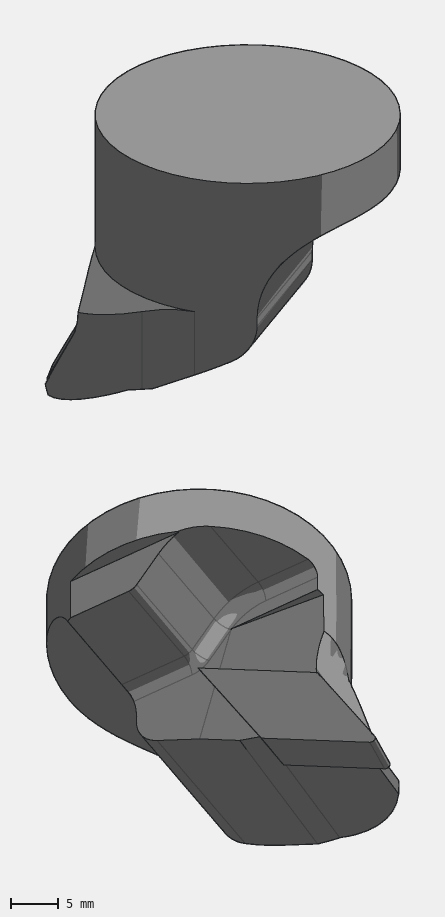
import cadquery as cq
import math

SHANK_RADIUS = 32.0 / 2
BODY_DEPTH = 35.98
RELIEF_RADIUS = 9.55
RELIEF_TOP = -6.32
HEEL_X = 6.5
HEEL_Z = -19.7
HEEL_RADIUS = 4.75
CUT_ANGLE = 27.5
MARGIN = 22.72

SWELL_OFFSET = 5.85
LEDGE_TOP = -15.6

POCKET_FLOOR_Y = 1.97
POCKET_FLOOR_RADIUS = 1.5
POCKET_CEILING = -5.68
POCKET_ARC_START_X = -9.45
POCKET_ARC_RADIUS = 7.12
POCKET_WALL_ANGLE = 50.0
WEB_Y = 14.45
WEB_BOTTOM = -11.9
WEB_EDGE_RADIUS = 1.3

TIP_X = -21.75
TIP_Z = -33.85
TIP_Y = 0.08
INSERT_SIDE = 15.7
INSERT_ANGLE = 35.0
INSERT_THICKNESS = 4.77
INSERT_DRAFT = 3.4
TIP_RADIUS = 0.45
SLOPE_X = 0.09
SLOPE_Z = 0.024
INSERT_PROUD = 0.2
CHIP_FACE_TOP = -9.1

SHEAR = (0.08, -1.0, 0.04)
NECK_X = -14.92
NECK_Z = -19.7
NECK_RADIUS = 7.2
NECK_TOP_RADIUS = 14.0
NECK_TOP_SWEEP = 40.0
NOSE_Z = -31.75
NOSE_CHAMFER = 0.65
UNDERSIDE_RISE = 0.8
RECESS_END_X = -5.85
RECESS_RAMP = 2.88


def at_angle(point, distance, degrees):
    angle = math.radians(degrees)
    return (point[0] + distance * math.cos(angle), point[1] + distance * math.sin(angle))


def along_y(profile, y_from, y_to):
    """Move a closed XZ profile to y_from and extrude it to y_to."""
    return profile.extrude(-(y_to - y_from)).translate((0, y_from, 0))


def outline_block():
    """Front outline: relief arc, heel and sloping lower edge."""
    tangent = HEEL_RADIUS * math.tan(math.radians((90 - CUT_ANGLE) / 2))
    heel = (HEEL_X, HEEL_Z)
    heel_start = (HEEL_X, HEEL_Z + tangent)
    heel_end = at_angle(heel, tangent, 180 + CUT_ANGLE)
    heel_center = (HEEL_X - HEEL_RADIUS, HEEL_Z + tangent)
    heel_middle = at_angle(heel_center, HEEL_RADIUS, (CUT_ANGLE - 90) / 2)
    relief_center = (HEEL_X + RELIEF_RADIUS, RELIEF_TOP - RELIEF_RADIUS)
    low_end = at_angle(heel, 2 * MARGIN, 180 + CUT_ANGLE)
    profile = (
        cq.Workplane("XZ")
        .moveTo(low_end[0], 0)
        .lineTo(MARGIN, 0)
        .lineTo(MARGIN, RELIEF_TOP)
        .lineTo(relief_center[0], RELIEF_TOP)
        .threePointArc(
            at_angle(relief_center, RELIEF_RADIUS, 135), (HEEL_X, relief_center[1])
        )
        .lineTo(*heel_start)
        .threePointArc(heel_middle, heel_end)
        .lineTo(*low_end)
        .close()
    )
    return along_y(profile, -MARGIN, MARGIN)


def swollen_head():
    """Head outline shifted toward -X, topped by a 45 degree conical ledge."""
    swell = (
        cq.Workplane("XY")
        .moveTo(0, -SHANK_RADIUS)
        .lineTo(-SWELL_OFFSET, -SHANK_RADIUS)
        .threePointArc((-SWELL_OFFSET - SHANK_RADIUS, 0), (-SWELL_OFFSET, SHANK_RADIUS))
        .lineTo(0, 0)
        .close()
        .extrude(-BODY_DEPTH)
    )
    spread = SHANK_RADIUS + BODY_DEPTH + LEDGE_TOP
    half_section = [
        (0, LEDGE_TOP),
        (SHANK_RADIUS, LEDGE_TOP),
        (spread, -BODY_DEPTH),
        (0, -BODY_DEPTH),
    ]
    cone = (
        cq.Workplane("XZ")
        .polyline(half_section)
        .close()
        .revolve(360, (0, 0, 0), (0, 1, 0))
    )
    return swell.intersect(cone)


def chip_pocket():
    """Open space on the +Y side, leaving a web with a sloping, rounded wall."""
    arc_center = (POCKET_ARC_START_X, POCKET_CEILING - POCKET_ARC_RADIUS)
    arc_middle = at_angle(arc_center, POCKET_ARC_RADIUS, 90 - POCKET_WALL_ANGLE / 2)
    arc_end = at_angle(arc_center, POCKET_ARC_RADIUS, 90 - POCKET_WALL_ANGLE)
    wall_run = (arc_end[1] - WEB_BOTTOM) / math.tan(math.radians(POCKET_WALL_ANGLE))
    web_corner = (arc_end[0] + wall_run, WEB_BOTTOM)
    web_tangent = WEB_EDGE_RADIUS * math.tan(math.radians(POCKET_WALL_ANGLE / 2))
    wall_end = at_angle(web_corner, web_tangent, 180 - POCKET_WALL_ANGLE)
    bottom_start = (web_corner[0] + web_tangent, WEB_BOTTOM)
    web_center = (bottom_start[0], WEB_BOTTOM + WEB_EDGE_RADIUS)
    web_middle = at_angle(web_center, WEB_EDGE_RADIUS, -90 - POCKET_WALL_ANGLE / 2)
    profile = (
        cq.Workplane("XZ")
        .moveTo(-2 * MARGIN, POCKET_CEILING)
        .lineTo(POCKET_ARC_START_X, POCKET_CEILING)
        .threePointArc(arc_middle, arc_end)
        .lineTo(*wall_end)
        .threePointArc(web_middle, bottom_start)
        .lineTo(MARGIN, WEB_BOTTOM)
        .lineTo(MARGIN, -2 * BODY_DEPTH)
        .lineTo(-2 * MARGIN, -2 * BODY_DEPTH)
        .close()
    )
    pocket = along_y(profile, POCKET_FLOOR_Y, MARGIN)
    floor_edges = cq.selectors.BoxSelector(
        (-2 * MARGIN, POCKET_FLOOR_Y - POCKET_FLOOR_RADIUS, WEB_BOTTOM - POCKET_FLOOR_RADIUS),
        (MARGIN, POCKET_FLOOR_Y + POCKET_FLOOR_RADIUS, 0),
    )
    pocket = pocket.edges(floor_edges).fillet(POCKET_FLOOR_RADIUS)
    side_cut = cq.Workplane("XY").box(
        2 * MARGIN, MARGIN, BODY_DEPTH, centered=(True, False, False)
    ).translate((0, WEB_Y, RELIEF_TOP - BODY_DEPTH))
    return pocket.union(side_cut)


def seat_plane(origin):
    """Plane parallel to the insert face: local x along +X, normal toward -Y."""
    return cq.Plane(origin=origin, xDir=(1, SLOPE_X, 0), normal=(SLOPE_X, -1, SLOPE_Z))


def chip_face():
    """Shallow tilted face in front of the insert, ending at the pocket floor."""
    block = (
        cq.Workplane(seat_plane((TIP_X, TIP_Y - INSERT_PROUD, TIP_Z)))
        .rect(4 * MARGIN, 4 * MARGIN)
        .extrude(-MARGIN)
    )
    limit = cq.Workplane("XY").box(
        4 * MARGIN, MARGIN, BODY_DEPTH, centered=(True, False, False)
    ).translate((0, POCKET_FLOOR_Y - MARGIN, CHIP_FACE_TOP - BODY_DEPTH))
    return block.intersect(limit)


def flank_cut():
    """Everything outside the neck, left flank, nose chamfer and underside recess."""
    flank_angle = 90 - CUT_ANGLE
    center = (NECK_X - NECK_RADIUS, NECK_Z)
    top_center = (NECK_X - NECK_TOP_RADIUS, NECK_Z)
    neck_top = at_angle(top_center, NECK_TOP_RADIUS, NECK_TOP_SWEEP)
    top_middle = at_angle(top_center, NECK_TOP_RADIUS, NECK_TOP_SWEEP / 2)
    neck_middle = at_angle(center, NECK_RADIUS, -CUT_ANGLE / 2)
    neck_end = at_angle(center, NECK_RADIUS, -CUT_ANGLE)
    flank_length = (neck_end[1] - NOSE_Z) / math.sin(math.radians(flank_angle))
    nose = at_angle(neck_end, flank_length, 180 + flank_angle)
    nose_end = (nose[0] + NOSE_CHAMFER, nose[1] - NOSE_CHAMFER)
    slope = math.tan(math.radians(CUT_ANGLE))
    recess_end = (RECESS_END_X, HEEL_Z - slope * (HEEL_X - RECESS_END_X))
    recess_start_x = RECESS_END_X - RECESS_RAMP
    recess_start = (recess_start_x, recess_end[1] - slope * RECESS_RAMP + UNDERSIDE_RISE)
    profile = (
        cq.Workplane(cq.Plane(origin=(0, 0, 0), xDir=(1, 0, 0), normal=(0, -1, 0)))
        .moveTo(-2 * MARGIN, neck_top[1])
        .lineTo(*neck_top)
        .threePointArc(top_middle, (NECK_X, NECK_Z))
        .threePointArc(neck_middle, neck_end)
        .lineTo(*nose)
        .lineTo(*nose_end)
        .lineTo(*recess_start)
        .lineTo(*recess_end)
        .lineTo(RECESS_END_X, -2 * BODY_DEPTH)
        .lineTo(-2 * MARGIN, -2 * BODY_DEPTH)
        .close()
    )
    face = cq.Face.makeFromWires(profile.val())
    reach = cq.Vector(*SHEAR) * MARGIN
    return cq.Workplane(cq.Solid.extrudeLinear(face.translate(-reach), reach * 2))


def make_insert():
    """Rhombic cutting insert with drafted sides and a rounded cutting tip."""
    tip = (0, 0)
    low = at_angle(tip, INSERT_SIDE, CUT_ANGLE)
    high = at_angle(tip, INSERT_SIDE, CUT_ANGLE + INSERT_ANGLE)
    far = (low[0] + high[0], low[1] + high[1])
    overhang = TIP_RADIUS / math.sin(math.radians(INSERT_ANGLE / 2)) - TIP_RADIUS
    corner = at_angle((TIP_X, TIP_Z), overhang, 180 + CUT_ANGLE + INSERT_ANGLE / 2)
    insert = (
        cq.Workplane(seat_plane((corner[0], TIP_Y, corner[1])))
        .polyline([tip, low, far, high])
        .close()
        .extrude(INSERT_THICKNESS, taper=INSERT_DRAFT)
    )
    tip_edge = insert.edges(cq.selectors.DirectionMinMaxSelector(cq.Vector(1, 0, 1), False))
    return tip_edge.fillet(TIP_RADIUS)


def make_holder(insert):
    shank = cq.Workplane("XY").circle(SHANK_RADIUS).extrude(-BODY_DEPTH)
    body = shank.union(swollen_head()).intersect(outline_block())
    body = body.cut(chip_pocket()).cut(chip_face()).cut(flank_cut())
    return body.cut(insert)


insert = make_insert()
holder = make_holder(insert)
result = cq.Compound.makeCompound([holder.val(), insert.val()])